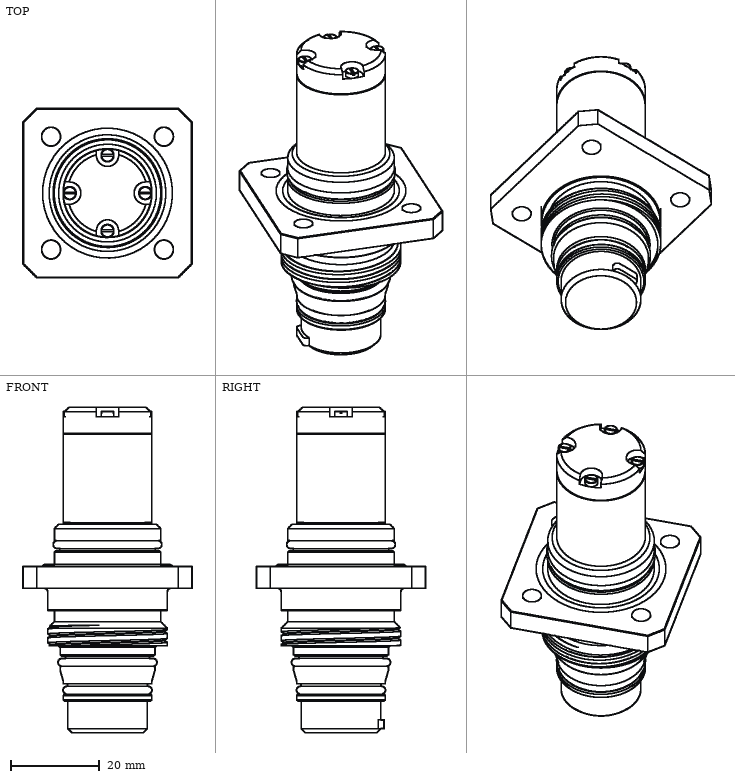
import cadquery as cq
import math

TOTAL_HEIGHT = 73.32
CAP_HEIGHT = 6.0
CAP_SEAT_Z = TOTAL_HEIGHT - CAP_HEIGHT

NOSE_TOP_Z = 7.15
LOWER_GROOVE_Z = (8.75, 11.05)
CONE_Z = (11.65, 14.1)
MIDDLE_GROOVE_Z = (15.0, 17.3)
THREAD_Z = (19.6, 25.05)
HUB_BOTTOM_Z = 27.5
FLANGE_BOTTOM_Z = 32.55
FLANGE_THICKNESS = 5.0
FLANGE_TOP_Z = FLANGE_BOTTOM_Z + FLANGE_THICKNESS
UPPER_GROOVE_Z = (41.0, 43.3)
COLLAR_TOP_Z = 47.0
BARREL_BOTTOM_Z = 47.35

NOSE_DIAMETER = 18.0
LOWER_LAND_DIAMETER = 20.0
LOWER_GROOVE_DIAMETER = 18.05
MIDDLE_LAND_DIAMETER = 21.4
MIDDLE_GROOVE_DIAMETER = 19.0
THREAD_DIAMETER = 27.0
COLLAR_DIAMETER = 24.0
UPPER_GROOVE_DIAMETER = 21.6
HUB_DIAMETER = 27.0
NECK_DIAMETER = 16.8
BARREL_DIAMETER = 20.0

END_CHAMFER = 1.0
LAND_CHAMFER = 0.35
HUB_CHAMFER = 0.2
JOINT_CHAMFER = 0.1
HUB_FILLET = 0.8

RING_SECTION = 1.78
LOWER_RING_DIAMETER = 20.05
MIDDLE_RING_DIAMETER = 22.3
UPPER_RING_DIAMETER = 24.5
FACE_RING_DIAMETER = 27.75
FACE_RING_PROTRUSION = 0.4

THREAD_PITCH = 2.0
THREAD_DEPTH = 0.7
THREAD_HALF_ANGLE = 30.0
THREAD_ROOT_FLAT = 0.1
THREAD_START_Z = 18.85
THREAD_TURNS = 4

FLANGE_SIZE = 38.1
FLANGE_CORNER_CHAMFER = 3.1
FLANGE_EDGE_CHAMFER = 0.15
MOUNTING_HOLE_DIAMETER = 4.2
MOUNTING_HOLE_PITCH = 25.4

KEY_WIDTH = 6.4
KEY_REACH = 9.7
KEY_CORNER_RADIUS = 1.0
KEY_Z = (END_CHAMFER, 2.95)

SCREW_COUNT = 4
SCREW_CIRCLE_RADIUS = 8.5
POCKET_DIAMETER = 5.0
POCKET_DEPTH = 2.1
SCREW_HEAD_DIAMETER = 2.9
SCREW_HEAD_HEIGHT = 1.15
SCREW_HEAD_CHAMFER = 0.1
SCREW_SLOT_WIDTH = 0.4
SCREW_SLOT_DEPTH = 0.4


def cylinder(diameter, z_low, z_high):
    return cq.Workplane("XY").workplane(offset=z_low).circle(diameter / 2).extrude(z_high - z_low)


def cone(lower_diameter, upper_diameter, z_low, z_high):
    return cq.Workplane("XY").add(
        cq.Solid.makeCone(lower_diameter / 2, upper_diameter / 2, z_high - z_low, cq.Vector(0, 0, z_low))
    )


def seal_ring(centre_diameter, z_centre):
    return (
        cq.Workplane("XZ")
        .center(-centre_diameter / 2, z_centre)
        .circle(RING_SECTION / 2)
        .revolve(360, (centre_diameter / 2, 0, 0), (centre_diameter / 2, 1, 0))
    )


def seated_ring(outer_diameter, seat_z, direction):
    """Seal ring resting on one wall of its groove; direction points away from that wall."""
    return seal_ring(outer_diameter - RING_SECTION, seat_z + direction * RING_SECTION / 2)


def nose():
    body = cylinder(NOSE_DIAMETER, 0, NOSE_TOP_Z).faces("<Z").chamfer(END_CHAMFER)
    key = (
        cq.Workplane("XY")
        .workplane(offset=KEY_Z[0])
        .center(0, KEY_REACH / 2)
        .rect(KEY_WIDTH, KEY_REACH)
        .extrude(KEY_Z[1] - KEY_Z[0])
        .edges("|Z and >Y")
        .fillet(KEY_CORNER_RADIUS)
    )
    return body.union(key)


def lower_seals():
    bottom_land = cylinder(LOWER_LAND_DIAMETER, NOSE_TOP_Z, LOWER_GROOVE_Z[0]).edges().chamfer(LAND_CHAMFER)
    groove = cylinder(LOWER_GROOVE_DIAMETER, *LOWER_GROOVE_Z)
    upper_land = cylinder(LOWER_LAND_DIAMETER, LOWER_GROOVE_Z[1], CONE_Z[0])
    taper = cone(LOWER_LAND_DIAMETER, MIDDLE_LAND_DIAMETER, *CONE_Z)
    middle_land = cylinder(MIDDLE_LAND_DIAMETER, CONE_Z[1], MIDDLE_GROOVE_Z[0])
    middle_groove = cylinder(MIDDLE_GROOVE_DIAMETER, *MIDDLE_GROOVE_Z)
    top_land = (
        cylinder(MIDDLE_LAND_DIAMETER, MIDDLE_GROOVE_Z[1], THREAD_Z[0])
        .faces("<Z")
        .chamfer(LAND_CHAMFER)
    )
    flare = cone(
        MIDDLE_LAND_DIAMETER, MIDDLE_LAND_DIAMETER + 2 * LAND_CHAMFER, THREAD_Z[0] - LAND_CHAMFER, THREAD_Z[0]
    )
    body = bottom_land
    for section in (groove, upper_land, taper, middle_land, middle_groove, top_land, flare):
        body = body.union(section)
    body = body.union(seated_ring(LOWER_RING_DIAMETER, LOWER_GROOVE_Z[0], 1))
    return body.union(seated_ring(MIDDLE_RING_DIAMETER, MIDDLE_GROOVE_Z[0], 1))


def thread_turn(start_z):
    """Cutter for one turn of the V-shaped right-hand thread groove, starting on the +X side."""
    root_radius = THREAD_DIAMETER / 2 - THREAD_DEPTH
    outer_radius = THREAD_DIAMETER / 2 + THREAD_DEPTH
    root_half = THREAD_ROOT_FLAT / 2
    outer_half = root_half + (outer_radius - root_radius) * math.tan(math.radians(THREAD_HALF_ANGLE))
    path = cq.Wire.makeHelix(THREAD_PITCH, THREAD_PITCH, root_radius, cq.Vector(0, 0, start_z))
    return (
        cq.Workplane("XZ")
        .moveTo(root_radius, start_z - root_half)
        .lineTo(outer_radius, start_z - outer_half)
        .lineTo(outer_radius, start_z + outer_half)
        .lineTo(root_radius, start_z + root_half)
        .close()
        .sweep(cq.Workplane("XY").add(path), isFrenet=True)
    )


def threaded_section():
    thread_runout = (THREAD_DIAMETER - COLLAR_DIAMETER) / 2
    section = cylinder(THREAD_DIAMETER, *THREAD_Z).faces(">Z").chamfer(thread_runout)
    for turn in range(THREAD_TURNS):
        section = section.cut(thread_turn(THREAD_START_Z + turn * THREAD_PITCH))
    return section


def hub():
    relief = cylinder(COLLAR_DIAMETER, THREAD_Z[1], HUB_BOTTOM_Z)
    drum = cylinder(HUB_DIAMETER, HUB_BOTTOM_Z, FLANGE_BOTTOM_Z).faces("<Z").chamfer(HUB_CHAMFER)
    return relief.union(drum)


def flange():
    plate = (
        cq.Workplane("XY")
        .workplane(offset=FLANGE_BOTTOM_Z)
        .rect(FLANGE_SIZE, FLANGE_SIZE)
        .extrude(FLANGE_THICKNESS)
        .edges("|Z")
        .chamfer(FLANGE_CORNER_CHAMFER)
        .faces(">Z")
        .chamfer(FLANGE_EDGE_CHAMFER)
    )
    holes = (
        cq.Workplane("XY")
        .workplane(offset=FLANGE_BOTTOM_Z)
        .rect(MOUNTING_HOLE_PITCH, MOUNTING_HOLE_PITCH, forConstruction=True)
        .vertices()
        .circle(MOUNTING_HOLE_DIAMETER / 2)
        .extrude(FLANGE_THICKNESS)
    )
    face_ring = seal_ring(FACE_RING_DIAMETER, FLANGE_TOP_Z + FACE_RING_PROTRUSION - RING_SECTION / 2)
    return plate.cut(holes).union(face_ring)


def hub_fillet():
    """Concave fillet between the hub and the underside of the flange."""
    hub_radius = HUB_DIAMETER / 2
    centre_x = hub_radius + HUB_FILLET
    centre_z = FLANGE_BOTTOM_Z - HUB_FILLET
    diagonal = HUB_FILLET * math.sqrt(0.5)
    return (
        cq.Workplane("XZ")
        .moveTo(NECK_DIAMETER / 2, centre_z)
        .lineTo(hub_radius, centre_z)
        .threePointArc((centre_x - diagonal, centre_z + diagonal), (centre_x, FLANGE_BOTTOM_Z))
        .lineTo(NECK_DIAMETER / 2, FLANGE_BOTTOM_Z)
        .close()
        .revolve(360, (0, 0, 0), (0, 1, 0))
    )


def collar():
    lower_land = cylinder(COLLAR_DIAMETER, FLANGE_TOP_Z, UPPER_GROOVE_Z[0]).faces(">Z").chamfer(LAND_CHAMFER)
    groove = cylinder(UPPER_GROOVE_DIAMETER, *UPPER_GROOVE_Z)
    upper_land = cylinder(COLLAR_DIAMETER, UPPER_GROOVE_Z[1], COLLAR_TOP_Z).faces(">Z").chamfer(END_CHAMFER)
    ring = seated_ring(UPPER_RING_DIAMETER, UPPER_GROOVE_Z[1], -1)
    return lower_land.union(groove).union(upper_land).union(ring)


def barrel():
    neck = cylinder(NECK_DIAMETER, COLLAR_TOP_Z, BARREL_BOTTOM_Z)
    tube = cylinder(BARREL_DIAMETER, BARREL_BOTTOM_Z, CAP_SEAT_Z).faces(">Z").chamfer(JOINT_CHAMFER)
    return neck.union(tube)


def make_connector():
    body = nose()
    for section in (lower_seals(), threaded_section(), hub(), flange(), hub_fillet(), collar(), barrel()):
        body = body.union(section)
    return body


def screw_pocket():
    """Round-ended recess on the +X side, open to the rim of the cap."""
    round_end = cylinder(POCKET_DIAMETER, TOTAL_HEIGHT - POCKET_DEPTH, TOTAL_HEIGHT)
    mouth = (
        cq.Workplane("XY")
        .workplane(offset=TOTAL_HEIGHT - POCKET_DEPTH)
        .center(POCKET_DIAMETER / 2, 0)
        .rect(POCKET_DIAMETER, POCKET_DIAMETER)
        .extrude(POCKET_DEPTH)
    )
    return round_end.union(mouth).translate((SCREW_CIRCLE_RADIUS, 0, 0))


def screw_head():
    floor_z = TOTAL_HEIGHT - POCKET_DEPTH
    head_top_z = floor_z + SCREW_HEAD_HEIGHT
    head = cylinder(SCREW_HEAD_DIAMETER, floor_z, head_top_z).faces(">Z").chamfer(SCREW_HEAD_CHAMFER)
    slot = (
        cq.Workplane("XY")
        .workplane(offset=head_top_z - SCREW_SLOT_DEPTH)
        .rect(2 * SCREW_HEAD_DIAMETER, SCREW_SLOT_WIDTH)
        .extrude(SCREW_SLOT_DEPTH)
    )
    return head.cut(slot)


def make_cap():
    cap = (
        cylinder(BARREL_DIAMETER, CAP_SEAT_Z, TOTAL_HEIGHT)
        .faces("<Z")
        .chamfer(JOINT_CHAMFER)
        .faces(">Z")
        .chamfer(END_CHAMFER)
    )
    for index in range(SCREW_COUNT):
        angle = index * 360 / SCREW_COUNT
        cap = cap.cut(screw_pocket().rotate((0, 0, 0), (0, 0, 1), angle))
        x = SCREW_CIRCLE_RADIUS * math.cos(math.radians(angle))
        y = SCREW_CIRCLE_RADIUS * math.sin(math.radians(angle))
        cap = cap.union(screw_head().translate((x, y, 0)))
    return cap


connector = make_connector()
cap = make_cap()

result = cq.Compound.makeCompound([connector.val(), cap.val()])